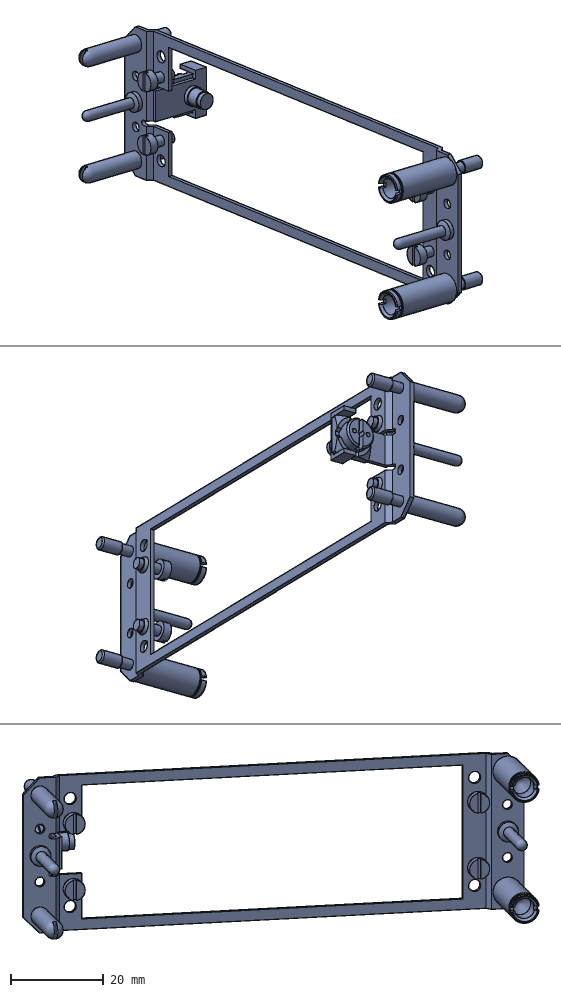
import cadquery as cq
import math


LENGTH = 111.4
HEIGHT = 34.5
SHEET = 1.0
STEP = 1.2
BEND_INNER = 47.5
BEND_OUTER = 48.5
CORNER = 3.6
WINDOW_HALF_X = 42.4
WINDOW_HALF_Z = 14.9
PANEL_BACK = STEP + SHEET

FLANGE_X = 52.0
PANEL_X = 45.0
CORNER_PART_Z = 13.5
SMALL_HOLE_Z = 5.9
CLEARANCE_HOLE_Z = 12.0
SCREW_Z = 7.4
SMALL_HOLE_D = 2.1
CLEARANCE_HOLE_D = 2.7

TAB_FACE_X = -46.9
TAB_LEFT_X = TAB_FACE_X - SHEET
TAB_HALF_Z = 3.6
TAB_TOP_Y = 15.8
CUTOUT_HALF_Z = 4.8
RELIEF_END_X = -50.0
EAR_LEFT_X = -52.0
EAR_HALF_Z = 5.6
EAR_DEPTH_Y = 3.1

STUD_NECK_D = 2.5
STUD_D = 3.0
STUD_NECK_END = 4.0
STUD_END = 9.1
STUD_CHAMFER = 0.3

PIN_D = 4.0
PIN_END = 15.6
PIN_SLOT = 0.8
PIN_SLOT_DEPTH = 1.6

SLEEVE_D = 6.5
SLEEVE_END = 17.0
SLEEVE_RIM = 1.5
SLEEVE_GROOVE = 0.3
SLEEVE_GROOVE_DEPTH = 0.2
SLEEVE_CHAMFER = 0.2
SLEEVE_BORE_D = 4.5
SLEEVE_BORE_DEPTH = 4.5
SLEEVE_SLOT = 1.0
SLEEVE_COUNTERSINK = 0.6
DRILL_POINT = 59.0

CONTACT_D = 2.5
CONTACT_COLLAR_D = 4.5
CONTACT_COLLAR = 1.0
CONTACT_COLLAR_TAPER = 0.5
CONTACT_END = 14.9

SCREW_D = 2.5
SCREW_HEAD_D = 4.5
SCREW_HEAD_START = 1.6
SCREW_HEAD_END = 3.6
SCREW_SLOT = 0.7
SCREW_SLOT_DEPTH = 0.8
SCREW_BACK = 4.1
NUT_BASE_D = 3.7
NUT_TOP_D = 3.0
NUT_BACK = 3.0

CONNECTOR_Y = 11.7
BODY_SIDE = 8.9
BODY_LEFT_X = -49.9
BODY_BEVEL = 30.0
BODY_CHAMFER = 0.3
BODY_NOTCH_FLOOR = 0.9
BODY_NOTCH_MOUTH = 2.2
BODY_NOTCH_DEPTH = 0.7
BARREL_D = 7.0
BARREL_FACE_D = 6.2
BARREL_LEFT_X = -52.6
BARREL_BEVEL = 0.5
BARREL_SLOT = 1.0
BARREL_SLOT_DEPTH = 1.7
SOCKET_D = 1.5
CONTACT_HOLE_D = 1.0
CONTACT_HOLE_OFFSET = 1.8
SOCKET_DEPTH = 2.2
COLLAR_D = 4.5
COLLAR_RIGHT_X = -45.9
NOSE_D = 4.0
NOSE_RIGHT_X = -43.2
NECK_D = 3.5
LIP_D = 3.7
LIP_RIGHT_X = -42.0


def box(x0, x1, y0, y1, z0, z1):
    """Box between two opposite corners."""
    return cq.Workplane("XY").box(x1 - x0, y1 - y0, z1 - z0, centered=False).translate((x0, y0, z0))


def turned(points, x, z):
    """Solid of revolution about a Y axis; points are (radius, y)."""
    outline = cq.Workplane("XY").polyline(points).close()
    return outline.revolve(360, (0, 0, 0), (0, 1, 0)).translate((x, 0, z))


def turned_along_x(points):
    """Solid of revolution about the connector axis; points are (x, radius)."""
    outline = cq.Workplane("XY").polyline(points).close()
    return outline.revolve(360, (0, 0, 0), (1, 0, 0)).translate((0, CONNECTOR_Y, 0))


def hole_y(x, z, diameter):
    """Cutter for a hole through the sheet."""
    return cq.Workplane("XZ").center(x, z).circle(diameter / 2).extrude(-2 * PANEL_BACK)


def sheet_frame():
    half = LENGTH / 2
    bend_angle = math.atan2(STEP, BEND_OUTER - BEND_INNER)
    back_shift = SHEET * math.tan(bend_angle / 2)
    back_inner = BEND_INNER + back_shift
    back_outer = BEND_OUTER + back_shift
    profile = [
        (-half, 0), (-BEND_OUTER, 0), (-BEND_INNER, STEP),
        (BEND_INNER, STEP), (BEND_OUTER, 0), (half, 0),
        (half, SHEET), (back_outer, SHEET), (back_inner, PANEL_BACK),
        (-back_inner, PANEL_BACK), (-back_outer, SHEET), (-half, SHEET),
    ]
    frame = cq.Workplane("XY").polyline(profile).close().extrude(HEIGHT / 2, both=True)
    outline = cq.Workplane("XZ").rect(LENGTH, HEIGHT).extrude(-PANEL_BACK).edges("|Y").chamfer(CORNER)
    frame = frame.intersect(outline)
    frame = frame.cut(box(-WINDOW_HALF_X, WINDOW_HALF_X, 0, PANEL_BACK, -WINDOW_HALF_Z, WINDOW_HALF_Z))
    frame = frame.cut(box(TAB_FACE_X, -WINDOW_HALF_X, 0, PANEL_BACK, -CUTOUT_HALF_Z, CUTOUT_HALF_Z))
    for side in (-1, 1):
        for end in (-1, 1):
            frame = frame.cut(hole_y(side * FLANGE_X, end * SMALL_HOLE_Z, SMALL_HOLE_D))
            frame = frame.cut(hole_y(side * PANEL_X, end * CLEARANCE_HOLE_Z, CLEARANCE_HOLE_D))
    return frame


def relief_slots():
    """Cutters for the round-ended slots beside the root of the tab."""
    width = CUTOUT_HALF_Z - TAB_HALF_Z
    middle_z = (CUTOUT_HALF_Z + TAB_HALF_Z) / 2
    round_x = RELIEF_END_X + width / 2
    slots = cq.Workplane("XY")
    for end in (-1, 1):
        z = end * middle_z
        slots = slots.add(box(round_x, TAB_FACE_X, 0, PANEL_BACK, z - width / 2, z + width / 2))
        slots = slots.add(hole_y(round_x, z, width))
    return slots.combine()


def tab():
    upright = box(TAB_LEFT_X, TAB_FACE_X, STEP, TAB_TOP_Y, -TAB_HALF_Z, TAB_HALF_Z)
    ear_y = TAB_TOP_Y - EAR_DEPTH_Y
    upright = upright.union(box(TAB_LEFT_X, TAB_FACE_X, ear_y, TAB_TOP_Y, -EAR_HALF_Z, EAR_HALF_Z))
    for z in (-EAR_HALF_Z, EAR_HALF_Z - SHEET):
        upright = upright.union(box(EAR_LEFT_X, TAB_FACE_X, ear_y, TAB_TOP_Y, z, z + SHEET))
    return upright


def stud(x, z):
    points = [
        (0, 0), (STUD_NECK_D / 2, 0), (STUD_NECK_D / 2, STUD_NECK_END), (STUD_D / 2, STUD_NECK_END),
        (STUD_D / 2, STUD_END - STUD_CHAMFER), (STUD_D / 2 - STUD_CHAMFER, STUD_END), (0, STUD_END),
    ]
    return turned(points, x, z)


def guide_pin(x, z):
    """Pin with a half-round tip that carries a screwdriver slot along Z."""
    radius = PIN_D / 2
    pin = (
        cq.Workplane("XY").moveTo(0, 0).lineTo(radius, 0).lineTo(radius, radius - PIN_END)
        .radiusArc((0, -PIN_END), radius).close()
        .revolve(360, (0, 0, 0), (0, 1, 0)).translate((x, 0, z))
    )
    slot = box(
        x - PIN_SLOT / 2, x + PIN_SLOT / 2,
        -PIN_END, PIN_SLOT_DEPTH - PIN_END,
        z - radius, z + radius,
    )
    return pin.cut(slot)


def sleeve(x, z):
    """Bored sleeve with a grooved rim that is slotted along X."""
    radius = SLEEVE_D / 2
    bore = SLEEVE_BORE_D / 2
    bore_end = SLEEVE_BORE_DEPTH - SLEEVE_END
    rim = SLEEVE_RIM - SLEEVE_END
    groove_radius = radius - SLEEVE_GROOVE_DEPTH
    points = [
        (0, 0), (radius, 0), (radius, rim + SLEEVE_GROOVE), (groove_radius, rim + SLEEVE_GROOVE),
        (groove_radius, rim), (radius, rim), (radius, SLEEVE_CHAMFER - SLEEVE_END),
        (radius - SLEEVE_CHAMFER, -SLEEVE_END), (bore + SLEEVE_COUNTERSINK, -SLEEVE_END),
        (bore, SLEEVE_COUNTERSINK - SLEEVE_END), (bore, bore_end),
        (0, bore_end + bore / math.tan(math.radians(DRILL_POINT))),
    ]
    slot = box(
        x - radius, x + radius,
        -SLEEVE_END, rim,
        z - SLEEVE_SLOT / 2, z + SLEEVE_SLOT / 2,
    )
    return turned(points, x, z).cut(slot)


def contact_pin(x):
    """Pin with a half-round tip and a collar that tapers onto the pin."""
    radius = CONTACT_D / 2
    collar = CONTACT_COLLAR_D / 2
    return (
        cq.Workplane("XY").moveTo(0, SHEET).lineTo(collar, SHEET).lineTo(collar, -CONTACT_COLLAR)
        .lineTo(radius, -CONTACT_COLLAR - CONTACT_COLLAR_TAPER).lineTo(radius, radius - CONTACT_END)
        .radiusArc((0, -CONTACT_END), radius).close()
        .revolve(360, (0, 0, 0), (0, 1, 0)).translate((x, 0, 0))
    )


def captive_screw(x, z):
    """Slotted screw in front of the panel with its nut behind it."""
    head = SCREW_HEAD_D / 2
    shank = SCREW_D / 2
    points = [
        (0, -SCREW_HEAD_END), (head, -SCREW_HEAD_END), (head, -SCREW_HEAD_START),
        (shank, -SCREW_HEAD_START), (shank, PANEL_BACK), (NUT_BASE_D / 2, PANEL_BACK),
        (NUT_TOP_D / 2, NUT_BACK), (shank, NUT_BACK), (shank, SCREW_BACK), (0, SCREW_BACK),
    ]
    slot = box(
        x - SCREW_SLOT / 2, x + SCREW_SLOT / 2,
        -SCREW_HEAD_END, SCREW_SLOT_DEPTH - SCREW_HEAD_END,
        z - head, z + head,
    )
    return turned(points, x, z).cut(slot)


def connector_body():
    """Square body whose left corners are turned to a cone, with a flared notch in each side."""
    half = BODY_SIDE / 2
    corner_radius = half * math.sqrt(2)
    bevel = (corner_radius - half) * math.tan(math.radians(BODY_BEVEL))
    body = box(
        BODY_LEFT_X, TAB_LEFT_X,
        CONNECTOR_Y - half, CONNECTOR_Y + half,
        -half, half,
    ).edges("|X").chamfer(BODY_CHAMFER)
    cone = turned_along_x([
        (BODY_LEFT_X, 0), (BODY_LEFT_X, half), (BODY_LEFT_X + bevel, corner_radius),
        (TAB_LEFT_X, corner_radius), (TAB_LEFT_X, 0),
    ])
    body = body.intersect(cone)
    notch = (
        cq.Workplane("XZ", origin=(BODY_LEFT_X, CONNECTOR_Y, 0))
        .moveTo(0, -BODY_NOTCH_MOUTH / 2).lineTo(BODY_NOTCH_DEPTH, -BODY_NOTCH_FLOOR / 2)
        .lineTo(BODY_NOTCH_DEPTH, BODY_NOTCH_FLOOR / 2).lineTo(0, BODY_NOTCH_MOUTH / 2).close()
        .extrude(-half)
    )
    for quarter in range(4):
        body = body.cut(notch.rotate((0, CONNECTOR_Y, 0), (1, CONNECTOR_Y, 0), 90 * quarter))
    return body


def connector_barrel():
    """Slotted barrel on the left and plug nose on the right of the body."""
    turned_part = turned_along_x([
        (BARREL_LEFT_X, 0), (BARREL_LEFT_X, BARREL_FACE_D / 2),
        (BARREL_LEFT_X + BARREL_BEVEL, BARREL_D / 2),
        (BODY_LEFT_X + BODY_NOTCH_DEPTH, BARREL_D / 2),
        (BODY_LEFT_X + BODY_NOTCH_DEPTH, COLLAR_D / 2), (COLLAR_RIGHT_X, COLLAR_D / 2),
        (COLLAR_RIGHT_X, NOSE_D / 2), (NOSE_RIGHT_X, NOSE_D / 2),
        (NOSE_RIGHT_X, NECK_D / 2), (LIP_RIGHT_X, LIP_D / 2), (LIP_RIGHT_X, 0),
    ])
    slot = box(
        BARREL_LEFT_X, BARREL_LEFT_X + BARREL_SLOT_DEPTH,
        CONNECTOR_Y - BARREL_SLOT / 2, CONNECTOR_Y + BARREL_SLOT / 2,
        -BARREL_D / 2, BARREL_D / 2,
    )
    face = cq.Workplane("YZ", origin=(BARREL_LEFT_X, CONNECTOR_Y, 0))
    socket = face.circle(SOCKET_D / 2).extrude(SOCKET_DEPTH)
    side_holes = (
        face.pushPoints([(-CONTACT_HOLE_OFFSET, 0), (CONTACT_HOLE_OFFSET, 0)])
        .circle(CONTACT_HOLE_D / 2).extrude(SOCKET_DEPTH)
    )
    return turned_part.cut(slot).cut(socket).cut(side_holes)


result = sheet_frame().cut(relief_slots()).union(tab())
for end in (-1, 1):
    corner_z = end * CORNER_PART_Z
    result = result.union(guide_pin(-FLANGE_X, corner_z))
    result = result.union(sleeve(FLANGE_X, corner_z))
    for side in (-1, 1):
        result = result.union(stud(side * FLANGE_X, corner_z))
        result = result.union(captive_screw(side * PANEL_X, end * SCREW_Z))
for side in (-1, 1):
    result = result.union(contact_pin(side * FLANGE_X))
result = result.union(connector_body()).union(connector_barrel())